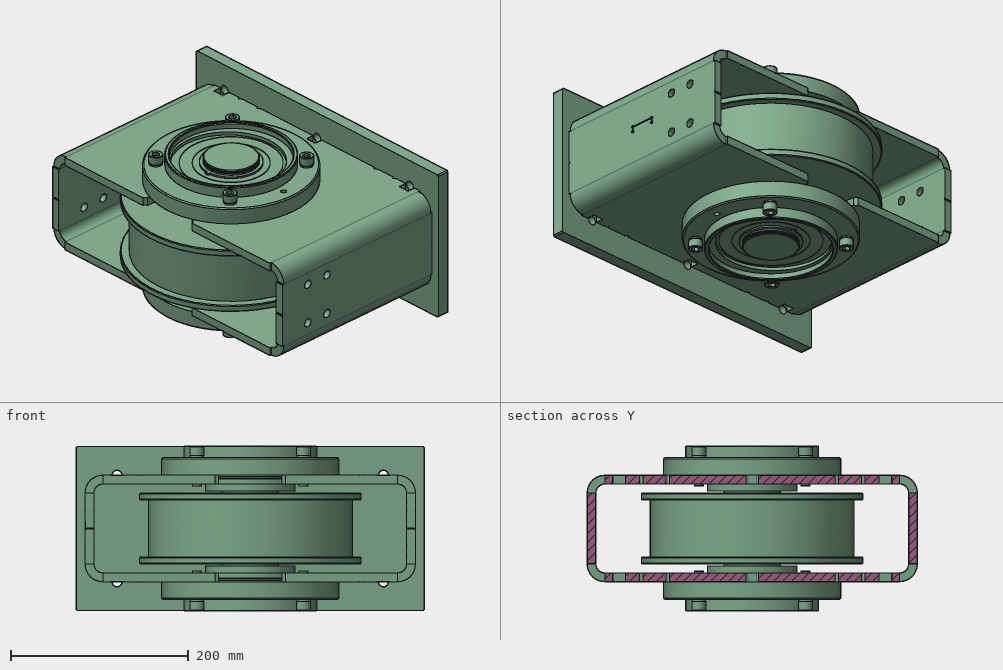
import cadquery as cq
import math


FLANGE_RADIUS = 125.0
TREAD_RADIUS = 115.0
WHEEL_WIDTH = 80.0
FLANGE_THICKNESS = 8.0
FLANGE_CHAMFER = 1.0
SHAFT_RADIUS = 32.0
SHAFT_TOP = 90.0
SHAFT_CHAMFER = 1.0
SHAFT_GROOVE_RADIUS = 31.0
SHAFT_GROOVE_WIDTH = 1.5
SHAFT_GROOVE_SETBACK = 2.5
SPACER_RADIUS = 50.5
SPACER_BOTTOM = 42.0

HOUSING_WIDTH = 372.0
HOUSING_HEIGHT = 120.0
HOUSING_FRONT = -100.0
HOUSING_BACK = 135.0
SHEET = 10.0
BEND_RADIUS = 20.0
BEND_RELIEF_DEPTH = 2.0
MOUTH_WIDTH = 72.0
MOUTH_FILLET = 3.5
SIDE_HOLE_DIAMETER = 10.0
SIDE_HOLE_Y = (-60.0, -30.0)
SIDE_HOLE_Z = 25.0
SLIT_Y = (2.0, 32.5)
SLIT_Z = (0.0, 6.0)
SLIT_WIDTH = 0.8
SLIT_DEPTH = 0.5
SLIT_DOT_RADIUS = 1.5
WINDOW_WIDTH = 14.0
WINDOW_DEPTH = 10.0
WINDOW_CORNER = 2.0
MARK_X = (95.0, 125.0)
MARK_RADIUS = 2.0
SIDE_MARK_RADIUS = 0.8

PLATE_WIDTH = 392.0
PLATE_HEIGHT = 185.0
PLATE_THICKNESS = 15.0
PLATE_CHAMFER = 1.5
PLATE_HOLE_DIAMETER = 11.0
PLATE_HOLE_X = (-150.0, 0.0, 150.0)

HUB_RADIUS = 100.0
HUB_HEIGHT = 20.0
HUB_CHAMFER = 1.5
SPIGOT_RADIUS = 60.0
SPIGOT_HEIGHT = 4.5
SPIGOT_GROOVE_WIDTH = 1.5
SPIGOT_NECK_RADIUS = 58.0
COLLAR_RADIUS = 75.0
COLLAR_TOP = 93.15
COLLAR_CHAMFER = 1.0
COLLAR_BORE_RADIUS = 70.0
COLLAR_BORE_CHAMFER = 1.0
BEARING_FACE = 82.0
SEAL_OUTER_RADIUS = 58.7
SEAL_INNER_RADIUS = 44.0
SEAL_DEPTH = 0.5
BOLT_CIRCLE_RADIUS = 85.0
TAPPED_HOLE_DIAMETER = 6.8
TAPPED_HOLE_DEPTH = 15.0

SCREW_HEAD_DIAMETER = 16.0
SCREW_DIAMETER = 10.0
SCREW_HEAD_HEIGHT = 10.0
SCREW_HEAD_CHAMFER = 0.4
SCREW_TIP = 48.0
SCREW_WASHER_DIAMETER = 15.0
SCREW_WASHER_THICKNESS = 2.2
SOCKET_ACROSS_FLATS = 8.0
SOCKET_DEPTH = 5.0

RING_THICKNESS = 4.0
RING_OPENING_RADIUS = 65.5
RING_GAP = 22.0
RING_LUG_X = 14.0
RING_LUG_Y = -65.0
RING_LUG_RADIUS = 3.5
RING_LUG_HOLE = 2.5
WASHER_RADIUS = 36.0
WASHER_THICKNESS = 2.0
WASHER_TAB_WIDTH = 5.0
WASHER_TAB_REACH = 38.5

HALF_WIDTH = HOUSING_WIDTH / 2
HALF_HEIGHT = HOUSING_HEIGHT / 2
HOUSING_LENGTH = HOUSING_BACK - HOUSING_FRONT
INNER_HALF_HEIGHT = HALF_HEIGHT - SHEET
HUB_TOP = HALF_HEIGHT + HUB_HEIGHT


def cylinder(radius, bottom, top, x=0, y=0):
    """Upright cylinder between two heights."""
    return cq.Workplane("XY", origin=(x, y, bottom)).circle(radius).extrude(top - bottom)


def box(x_range, y_range, z_range):
    """Box given by its lower and upper limit along each axis."""
    size = [high - low for low, high in (x_range, y_range, z_range)]
    corner = (x_range[0], y_range[0], z_range[0])
    return cq.Workplane("XY").box(*size, centered=False).translate(corner)


def make_wheel():
    """Tread with a flange at each end, edges of the flanges chamfered."""
    half = WHEEL_WIDTH / 2
    wheel = cylinder(TREAD_RADIUS, -half, half)
    for bottom in (-half, half - FLANGE_THICKNESS):
        flange = cylinder(FLANGE_RADIUS, bottom, bottom + FLANGE_THICKNESS)
        wheel = wheel.union(flange.edges().chamfer(FLANGE_CHAMFER))
    return wheel


def make_shaft():
    """Shaft running through the wheel and both bearings, grooved near each end."""
    shaft = cylinder(SHAFT_RADIUS, -SHAFT_TOP, SHAFT_TOP).edges().chamfer(SHAFT_CHAMFER)
    groove_top = SHAFT_TOP - SHAFT_GROOVE_SETBACK
    groove_bottom = groove_top - SHAFT_GROOVE_WIDTH
    groove = cylinder(SHAFT_RADIUS, groove_bottom, groove_top)
    groove = groove.cut(cylinder(SHAFT_GROOVE_RADIUS, groove_bottom, groove_top))
    return shaft.cut(groove).cut(groove.mirror("XY"))


def housing_tube(width, height, corner_radius):
    """Rectangular bar along Y with rounded corners."""
    tube = cq.Workplane("XZ", origin=(0, HOUSING_BACK, 0)).rect(width, height).extrude(HOUSING_LENGTH)
    return tube.edges("|Y").fillet(corner_radius)


def cut_bend_reliefs(housing):
    """Set the ends of the four bends back from the flat sheet edges."""
    ends = (
        (HOUSING_FRONT, HOUSING_FRONT + BEND_RELIEF_DEPTH),
        (HOUSING_BACK - BEND_RELIEF_DEPTH, HOUSING_BACK),
    )
    x_sides = ((-HALF_WIDTH, BEND_RADIUS - HALF_WIDTH), (HALF_WIDTH - BEND_RADIUS, HALF_WIDTH))
    z_sides = ((-HALF_HEIGHT, BEND_RADIUS - HALF_HEIGHT), (HALF_HEIGHT - BEND_RADIUS, HALF_HEIGHT))
    for y_range in ends:
        for x_range in x_sides:
            for z_range in z_sides:
                housing = housing.cut(box(x_range, y_range, z_range))
    return housing


def cut_mouth(housing):
    """Slot from the front edge of the upper and lower sheet to the spigot."""
    half = MOUTH_WIDTH / 2
    flare = half + MOUTH_FILLET
    mouth = (
        cq.Workplane("XY", origin=(0, 0, -HALF_HEIGHT))
        .moveTo(-flare, HOUSING_FRONT)
        .radiusArc((-half, HOUSING_FRONT + MOUTH_FILLET), MOUTH_FILLET)
        .lineTo(-half, 0)
        .lineTo(half, 0)
        .lineTo(half, HOUSING_FRONT + MOUTH_FILLET)
        .radiusArc((flare, HOUSING_FRONT), MOUTH_FILLET)
        .close()
        .extrude(HOUSING_HEIGHT)
    )
    return housing.cut(mouth)


def cut_side_holes(housing):
    """Four holes through each side wall."""
    points = [(y, z) for y in SIDE_HOLE_Y for z in (-SIDE_HOLE_Z, SIDE_HOLE_Z)]
    drills = (
        cq.Workplane("YZ", origin=(-HALF_WIDTH, 0, 0))
        .pushPoints(points)
        .circle(SIDE_HOLE_DIAMETER / 2)
        .extrude(HOUSING_WIDTH)
    )
    return housing.cut(drills)


def cut_slits(housing):
    """Shallow U-shaped score on the -X wall with a round dot at each corner."""
    half = SLIT_WIDTH / 2
    x_range = (-HALF_WIDTH, SLIT_DEPTH - HALF_WIDTH)
    low_z, high_z = SLIT_Z
    housing = housing.cut(box(x_range, SLIT_Y, (high_z - half, high_z + half)))
    for y in SLIT_Y:
        housing = housing.cut(box(x_range, (y - half, y + half), SLIT_Z))
        for z in (low_z, high_z):
            dot = cq.Workplane("YZ", origin=(-HALF_WIDTH, y, z)).circle(SLIT_DOT_RADIUS)
            housing = housing.cut(dot.extrude(SLIT_DEPTH))
    return housing


def cut_windows(housing):
    """Notches at the back edge of both sheets, beside the base plate."""
    for x in PLATE_HOLE_X:
        window = box(
            (x - WINDOW_WIDTH / 2, x + WINDOW_WIDTH / 2),
            (HOUSING_BACK - WINDOW_DEPTH, HOUSING_BACK),
            (-HALF_HEIGHT, HALF_HEIGHT),
        )
        if x == 0:
            window = window.edges("|Z and <Y").fillet(WINDOW_CORNER)
        housing = housing.cut(window)
    return housing


def cut_marks(housing):
    """Small half-round alignment marks in the sheet edges."""
    upright_mark = cylinder(MARK_RADIUS, -HALF_HEIGHT, HALF_HEIGHT)
    for x in MARK_X:
        for side in (-1, 1):
            housing = housing.cut(upright_mark.translate((side * x, HOUSING_BACK, 0)))
    level_mark = cq.Workplane("YZ").circle(SIDE_MARK_RADIUS).extrude(HALF_WIDTH, both=True)
    for y in (HOUSING_FRONT, HOUSING_BACK):
        housing = housing.cut(level_mark.translate((0, y, 0)))
    return housing


def make_housing():
    """Bent sheet housing, open at the front and at the back."""
    outer = housing_tube(HOUSING_WIDTH, HOUSING_HEIGHT, BEND_RADIUS)
    inner = housing_tube(HOUSING_WIDTH - 2 * SHEET, 2 * INNER_HALF_HEIGHT, BEND_RADIUS - SHEET)
    housing = outer.cut(inner)
    housing = cut_bend_reliefs(housing)
    housing = cut_mouth(housing)
    housing = cut_side_holes(housing)
    housing = cut_slits(housing)
    housing = cut_windows(housing)
    return cut_marks(housing)


def make_plate():
    """Base plate behind the housing, with six bolt holes at the sheet faces."""
    points = [(x, z) for x in PLATE_HOLE_X for z in (-HALF_HEIGHT, HALF_HEIGHT)]
    plate = cq.Workplane("XZ", origin=(0, HOUSING_BACK, 0)).rect(PLATE_WIDTH, PLATE_HEIGHT)
    plate = plate.extrude(-PLATE_THICKNESS).edges("|Y").chamfer(PLATE_CHAMFER)
    holes = (
        cq.Workplane("XZ", origin=(0, HOUSING_BACK, 0))
        .pushPoints(points)
        .circle(PLATE_HOLE_DIAMETER / 2)
        .extrude(-PLATE_THICKNESS)
    )
    return plate.cut(holes)


def make_retaining_ring():
    """Internal ring, thickest opposite its gap, with a drilled lug at each end."""
    top = BEARING_FACE + RING_THICKNESS
    opening_y = RING_OPENING_RADIUS - COLLAR_BORE_RADIUS
    ring = cylinder(COLLAR_BORE_RADIUS, BEARING_FACE, top)
    ring = ring.cut(cylinder(RING_OPENING_RADIUS, BEARING_FACE, top, y=opening_y))
    gap = box((-RING_GAP / 2, RING_GAP / 2), (-COLLAR_BORE_RADIUS, 0), (BEARING_FACE, top))
    ring = ring.cut(gap)
    for x in (-RING_LUG_X, RING_LUG_X):
        ring = ring.union(cylinder(RING_LUG_RADIUS, BEARING_FACE, top, x, RING_LUG_Y))
        ring = ring.cut(cylinder(RING_LUG_HOLE / 2, BEARING_FACE, top, x, RING_LUG_Y))
    return ring


def make_lock_washer():
    """Washer around the shaft with one tab toward the front."""
    top = BEARING_FACE + WASHER_THICKNESS
    half_tab = WASHER_TAB_WIDTH / 2
    tab = box((-half_tab, half_tab), (-WASHER_TAB_REACH, 0), (BEARING_FACE, top))
    return cylinder(WASHER_RADIUS, BEARING_FACE, top).union(tab)


def make_screw(x, y):
    """Socket head screw on a washer, through hub and sheet, its tip showing inside the housing."""
    head_bottom = HUB_TOP + SCREW_WASHER_THICKNESS
    head_top = head_bottom + SCREW_HEAD_HEIGHT
    head = cylinder(SCREW_HEAD_DIAMETER / 2, head_bottom, head_top, x, y)
    head = head.faces(">Z").edges().chamfer(SCREW_HEAD_CHAMFER)
    washer = cylinder(SCREW_WASHER_DIAMETER / 2, HUB_TOP, head_bottom, x, y)
    socket = (
        cq.Workplane("XY", origin=(x, y, head_top))
        .polygon(6, SOCKET_ACROSS_FLATS / math.cos(math.pi / 6))
        .extrude(-SOCKET_DEPTH)
    )
    shank = cylinder(SCREW_DIAMETER / 2, SCREW_TIP, HUB_TOP, x, y)
    return head.cut(socket).union(washer).union(shank)


def make_spigot():
    """Grooved spigot below the hub, on a narrower neck inside the sheet."""
    neck = cylinder(SPIGOT_NECK_RADIUS, INNER_HALF_HEIGHT, HALF_HEIGHT)
    spigot_bottom = HALF_HEIGHT - SPIGOT_HEIGHT
    groove_bottom = spigot_bottom + (SPIGOT_HEIGHT - SPIGOT_GROOVE_WIDTH) / 2
    groove_top = groove_bottom + SPIGOT_GROOVE_WIDTH
    for bottom, top in ((spigot_bottom, groove_bottom), (groove_top, HALF_HEIGHT)):
        neck = neck.union(cylinder(SPIGOT_RADIUS, bottom, top))
    return neck


def make_hub():
    """Bearing hub of the upper side with spacer, bearing, ring, washer and screws."""
    hub = cylinder(HUB_RADIUS, HALF_HEIGHT, HUB_TOP).faces(">Z").edges().chamfer(HUB_CHAMFER)
    collar = cylinder(COLLAR_RADIUS, HUB_TOP, COLLAR_TOP).faces(">Z").edges().chamfer(COLLAR_CHAMFER)
    bore = cylinder(COLLAR_BORE_RADIUS, BEARING_FACE, COLLAR_TOP)
    bore_mouth = (
        cq.Workplane("XY", origin=(0, 0, COLLAR_TOP))
        .circle(COLLAR_BORE_RADIUS + COLLAR_BORE_CHAMFER)
        .extrude(-COLLAR_BORE_CHAMFER, taper=45)
    )
    hub = hub.union(collar).cut(bore).cut(bore_mouth)
    seal = cylinder(SEAL_OUTER_RADIUS, BEARING_FACE - SEAL_DEPTH, BEARING_FACE)
    seal = seal.cut(cylinder(SEAL_INNER_RADIUS, BEARING_FACE - SEAL_DEPTH, BEARING_FACE))
    hub = hub.cut(seal)
    for x in (-BOLT_CIRCLE_RADIUS, BOLT_CIRCLE_RADIUS):
        hub = hub.cut(cylinder(TAPPED_HOLE_DIAMETER / 2, HUB_TOP - TAPPED_HOLE_DEPTH, HUB_TOP, x))
    hub = hub.union(make_spigot())
    hub = hub.union(cylinder(SPACER_RADIUS, SPACER_BOTTOM, INNER_HALF_HEIGHT))
    hub = hub.union(make_retaining_ring()).union(make_lock_washer())
    offset = BOLT_CIRCLE_RADIUS * math.sqrt(0.5)
    for x in (-offset, offset):
        for y in (-offset, offset):
            hub = hub.union(make_screw(x, y))
    return hub


upper_hub = make_hub()
lower_hub = upper_hub.mirror("XY")
result = make_housing().union(make_plate()).union(upper_hub).union(lower_hub)
result = result.union(make_shaft()).union(make_wheel())